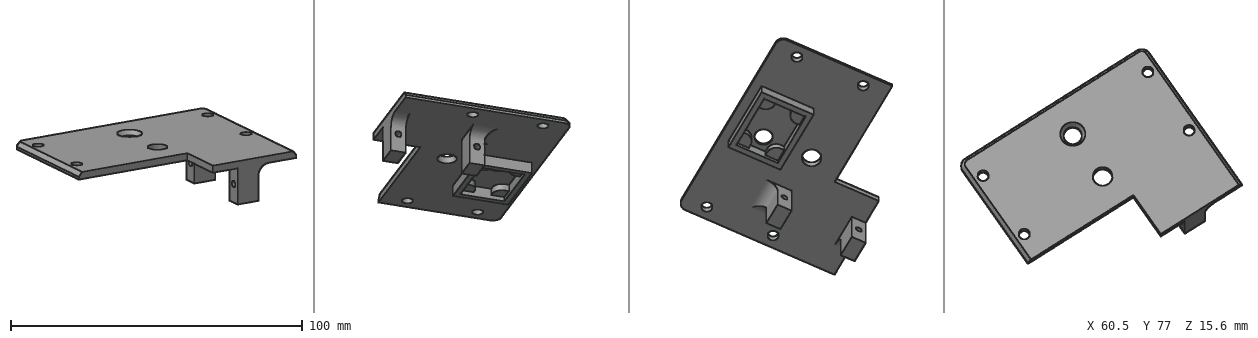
import cadquery as cq
import math

plate_length = 60.5
plate_width = 77.0
plate_thickness = 2.6
notch_length = 17.0
notch_width = 43.5
corner_radius = 3.0
bevel_width = 1.3
bevel_height = 1.6
bevel_angle = math.degrees(math.atan2(bevel_width, bevel_height))

screw_hole_diameter = 3.8
screw_hole_first_x = 9.0
screw_hole_spacing_x = 25.5
screw_hole_edge_offset = 4.5

center_y = plate_width / 2
switch_hole_x = 13.5
switch_hole_diameter = 6.2
countersink_diameter = 8.6
countersink_depth = 1.65
plain_hole_x = 32.0
plain_hole_diameter = 6.7

block_length = 20.0
block_width = 25.0
block_height = 4.0
block_front_y = 20.4

block_wall = 2.0
recess_length = block_length - 2 * block_wall
recess_width = block_width - 2 * block_wall
post_side = 4.8
post_height = 2.4
post_corner_radius = 3.5

leg_height = 13.0
leg_length = 5.4
leg_front_y = 53.4
leg_width = 8.4
inner_leg_x = 26.5
outer_leg_x = plate_length - leg_length
leg_fillet_radius = 4.0
leg_hole_diameter = 2.2
leg_hole_depth_below_plate = 6.25


def rounded_blank(height, taper):
    """Rounded rectangle, wider than the plate on the right so that end can be cut square."""
    blank_length = plate_length + 2 * corner_radius
    outline = (
        cq.Sketch()
        .rect(blank_length, plate_width)
        .vertices()
        .fillet(corner_radius)
        .moved(cq.Location(cq.Vector(blank_length / 2, center_y, 0)))
    )
    return cq.Workplane("XY").placeSketch(outline).extrude(height, taper=taper)


def make_plate():
    """L-shaped plate with rounded left corners and a bevelled left, front and back rim."""
    rim_height = plate_thickness - bevel_height
    rim = rounded_blank(rim_height, 0)
    bevelled_top = rounded_blank(bevel_height, bevel_angle).translate((0, 0, rim_height))
    envelope = cq.Workplane("XY").box(plate_length, plate_width, plate_thickness, centered=False)
    notch = cq.Workplane("XY").box(notch_length, notch_width, plate_thickness, centered=False)
    notch = notch.translate((plate_length - notch_length, 0, 0))
    return rim.union(bevelled_top).intersect(envelope).cut(notch)


def make_block():
    """Rectangular block below the plate, centred on the switch hole along X."""
    block = cq.Workplane("XY").box(block_length, block_width, block_height, centered=False)
    return block.translate((switch_hole_x - block_length / 2, block_front_y, -block_height))


def block_recess():
    """Recess through the full height of the block, less the four corner posts."""
    center = (switch_hole_x, block_front_y + block_width / 2, 0)
    recess = cq.Workplane("XY").rect(recess_length, recess_width).extrude(-block_height)
    posts = (
        cq.Workplane("XY")
        .rect(recess_length, recess_width, forConstruction=True)
        .vertices()
        .rect(2 * post_side, 2 * post_side)
        .extrude(-post_height)
        .edges("|Z")
        .fillet(post_corner_radius)
    )
    return recess.cut(posts).translate(center)


def make_leg(left_x):
    """Rectangular leg hanging from the underside of the plate."""
    leg = cq.Workplane("XY").box(leg_length, leg_width, leg_height, centered=False)
    return leg.translate((left_x, leg_front_y, -leg_height))


def fillet_leg_roots(body):
    """Round the back root of both legs and the left root of the inner leg."""
    leg_back_y = leg_front_y + leg_width
    root_midpoints = [
        (inner_leg_x + leg_length / 2, leg_back_y, 0),
        (outer_leg_x + leg_length / 2, leg_back_y, 0),
        (inner_leg_x, leg_front_y + leg_width / 2, 0),
    ]
    for midpoint in root_midpoints:
        body = body.edges(cq.selectors.NearestToPointSelector(midpoint))
        body = body.fillet(leg_fillet_radius)
    return body


def vertical_holes(points, diameter):
    """Cylinders that cut through the plate and the block below it."""
    holes = cq.Workplane("XY").workplane(offset=-block_height).pushPoints(points)
    return holes.circle(diameter / 2).extrude(block_height + plate_thickness)


def countersink_cutter():
    """Cone that opens the switch hole at the top of the plate."""
    cone = cq.Solid.makeCone(
        switch_hole_diameter / 2,
        countersink_diameter / 2,
        countersink_depth,
        pnt=cq.Vector(switch_hole_x, center_y, plate_thickness - countersink_depth),
    )
    return cq.Workplane(obj=cone)


def leg_holes():
    """Servo screw holes along Y through both legs."""
    points = [(x + leg_length / 2, -leg_hole_depth_below_plate) for x in (inner_leg_x, outer_leg_x)]
    holes = cq.Workplane("XZ", origin=(0, plate_width, 0)).pushPoints(points)
    return holes.circle(leg_hole_diameter / 2).extrude(plate_width)


screw_points = [
    (x, y)
    for x in (screw_hole_first_x, screw_hole_first_x + screw_hole_spacing_x)
    for y in (screw_hole_edge_offset, plate_width - screw_hole_edge_offset)
]

body = make_plate().union(make_leg(inner_leg_x)).union(make_leg(outer_leg_x))
body = fillet_leg_roots(body)
body = body.union(make_block()).cut(block_recess())
body = body.cut(vertical_holes(screw_points, screw_hole_diameter))
body = body.cut(vertical_holes([(switch_hole_x, center_y)], switch_hole_diameter))
body = body.cut(vertical_holes([(plain_hole_x, center_y)], plain_hole_diameter))
body = body.cut(countersink_cutter())
result = body.cut(leg_holes())